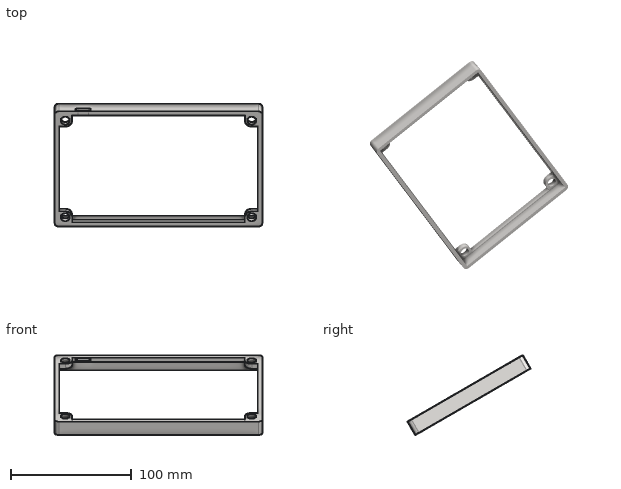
import cadquery as cq

length = 172.6
width = 110.5
height = 13.0
tilt_angle = 30.0
corner_radius = 3.6

lip_wall = 4.1
lower_wall = 3.1
lip_depth = 4.5

hole_diameter = 7.5
hole_inset = 9.0
boss_radius = 5.7

port_length = 13.0
port_height = 4.3
port_center_x = -62.5
port_center_depth = 3.1


def opening(wall, depth, top_z):
    """Rectangular cutter that leaves the given wall around the frame."""
    return (
        cq.Workplane("XY", origin=(0, 0, top_z))
        .rect(length - 2 * wall, width - 2 * wall)
        .extrude(-depth)
    )


def corner_boss(side_x, side_y):
    """Square pad reaching into a corner, with its inward corner rounded."""
    inner_reach = hole_inset + boss_radius - lip_wall
    center_x = side_x * (length / 2 - lip_wall - inner_reach / 2)
    center_y = side_y * (width / 2 - lip_wall - inner_reach / 2)
    inward_edge = cq.selectors.NearestToPointSelector((0, 0, -lip_depth / 2))
    return (
        cq.Workplane("XY")
        .center(center_x, center_y)
        .rect(inner_reach, inner_reach)
        .extrude(-lip_depth)
        .edges("|Z")
        .edges(inward_edge)
        .fillet(boss_radius)
    )


def port_slot():
    """Cutter for the port, crossing the rear wall only."""
    return (
        cq.Workplane("XZ", origin=(port_center_x, width / 2, -port_center_depth))
        .slot2D(port_length, port_height)
        .extrude(lip_wall)
    )


frame = cq.Workplane("XY").rect(length, width).extrude(-height).edges("|Z").fillet(corner_radius)
frame = frame.cut(opening(lip_wall, lip_depth, 0))
frame = frame.cut(opening(lower_wall, height - lip_depth, -lip_depth))

for side_x in (-1, 1):
    for side_y in (-1, 1):
        frame = frame.union(corner_boss(side_x, side_y))

screw_holes = (
    cq.Workplane("XY")
    .rect(length - 2 * hole_inset, width - 2 * hole_inset, forConstruction=True)
    .vertices()
    .circle(hole_diameter / 2)
    .extrude(-lip_depth)
)
frame = frame.cut(screw_holes).cut(port_slot())

result = frame.rotate((0, 0, 0), (1, 0, 0), tilt_angle)